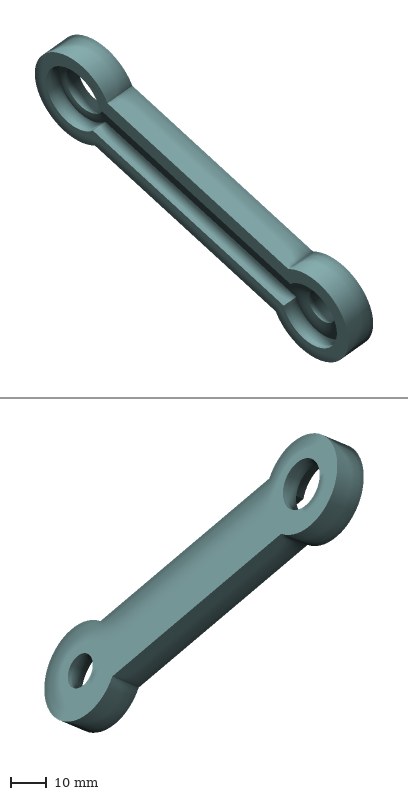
import cadquery as cq
import math

eye_radius = 15.0
eye_recess_radius = 10.5
thickness = 10.0
recess_depth = 5.0
bar_width = 20.0
bar_recess_width = 10.3
large_hole_diameter = 15.3
small_hole_diameter = 10.4

eye_offset_x = 91.98
eye_offset_z = -23.36
eye_distance = math.hypot(eye_offset_x, eye_offset_z)

link_plane = cq.Plane(
    origin=(0, 0, 0),
    xDir=(eye_offset_x, 0, eye_offset_z),
    normal=(0, -1, 0),
)
eye_centers = [(0, 0), (eye_distance, 0)]


def link_body(radius, width, depth):
    """Two discs joined by a bar, extending from the -Y face into the part."""
    discs = cq.Workplane(link_plane).pushPoints(eye_centers).circle(radius).extrude(-depth)
    bar = (
        cq.Workplane(link_plane)
        .center(eye_distance / 2, 0)
        .rect(eye_distance, width)
        .extrude(-depth)
    )
    return discs.union(bar)


def through_hole(center, diameter):
    """Cylinder that passes through the full thickness at an eye."""
    return cq.Workplane(link_plane).center(*center).circle(diameter / 2).extrude(-thickness)


outer = link_body(eye_radius, bar_width, thickness)
recess = link_body(eye_recess_radius, bar_recess_width, recess_depth)
result = outer.cut(recess)

for center, diameter in zip(eye_centers, (large_hole_diameter, small_hole_diameter)):
    result = result.cut(through_hole(center, diameter))